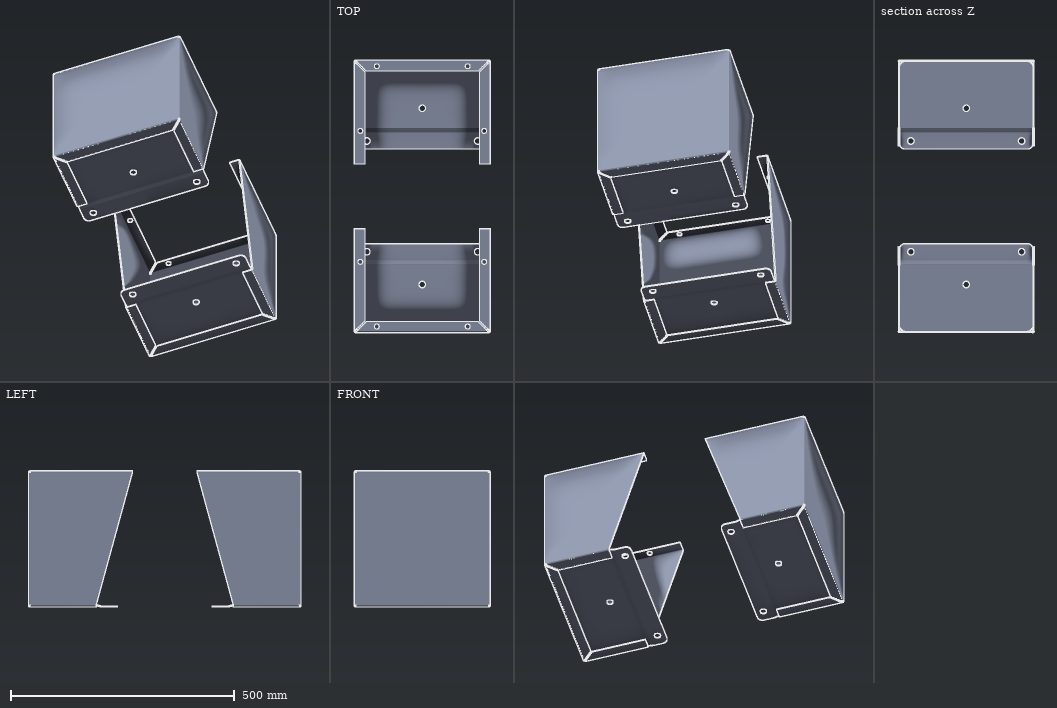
import cadquery as cq
overall_length = 609.5
width = 305.0
height = 305.0

sheet = 2.75
bend_radius = 4.0
inner_bend_radius = bend_radius - sheet
miter_gap = 3.35

top_depth = 233.0
bottom_depth = 152.0
flange_width = 25.0
flange_tip_radius = 2.0
flange_hole_diameter = 11.0
flange_hole_inset = 14.0
back_hole_spacing = 203.0
side_hole_depth = 158.5

plate_hole_diameter = 14.0
plate_corner_radius = 12.0
plate_inset = 3.4
floor_hole_depth = 108.0
joggle_start_depth = 152.5
joggle_length = 10.0
floor_lift = 3.0
tab_end_depth = 199.5
tab_hole_depth = 181.0
tab_hole_spacing = 247.5

back_y = overall_length / 2
plate_width = width - 2 * plate_inset


def at_depth(depth):
    """Y position at a given distance in front of the back face."""
    return back_y - depth


def folded_block(skin, radius):
    """Block set in by `skin` from the outer faces, rounded along the folds, running out past the front."""
    front_y = at_depth(top_depth + flange_width)
    rear_y = back_y - skin
    block = cq.Workplane("XY").box(width - 2 * skin, rear_y - front_y, height - 2 * skin)
    block = block.edges("|Y or >Y").fillet(radius)
    return block.translate((0, (front_y + rear_y) / 2, height / 2))


def side_profile():
    """Region kept by the tapered side walls, across the full width."""
    return (
        cq.Workplane("YZ")
        .moveTo(back_y, 0)
        .lineTo(at_depth(bottom_depth), 0)
        .lineTo(at_depth(bottom_depth), bend_radius)
        .lineTo(at_depth(top_depth), height - bend_radius)
        .lineTo(at_depth(top_depth), height)
        .lineTo(back_y, height)
        .close()
        .extrude(width / 2, both=True)
    )


def flange_opening():
    """Opening left between the flanges, at the top and the bottom."""
    opening_back = back_y - flange_width
    opening_front = at_depth(top_depth + flange_width)
    return (
        cq.Workplane("XY")
        .box(width - 2 * flange_width, opening_back - opening_front, height)
        .translate((0, (opening_back + opening_front) / 2, height / 2))
    )


def miter_slots():
    """Diagonal slots that part the flanges at the two back corners, top and bottom."""
    slots = cq.Workplane("XY")
    for side in (-1, 1):
        for z in (0, height):
            slot = (
                cq.Workplane("XY")
                .box(4 * flange_width, miter_gap, 2 * bend_radius)
                .rotate((0, 0, 0), (0, 0, 1), side * 45)
                .translate((side * width / 2, back_y, z))
            )
            slots = slots.add(slot)
    return slots.combine()


def flange_holes():
    """Holes through the top flanges: two at the back and one on each side."""
    side_x = width / 2 - flange_hole_inset
    back_x = back_hole_spacing / 2
    back_hole_y = at_depth(flange_hole_inset)
    side_hole_y = at_depth(side_hole_depth)
    centres = [(-back_x, back_hole_y), (back_x, back_hole_y), (-side_x, side_hole_y), (side_x, side_hole_y)]
    return (
        cq.Workplane("XY", origin=(0, 0, height - bend_radius))
        .pushPoints(centres)
        .circle(flange_hole_diameter / 2)
        .extrude(2 * bend_radius)
    )


def make_housing():
    """Back wall and side walls folded from one sheet, with mitred top and bottom flanges."""
    housing = folded_block(0, bend_radius).cut(folded_block(sheet, inner_bend_radius))
    housing = housing.cut(flange_opening()).intersect(side_profile())
    tip_x = width / 2 - flange_width
    tip_box = cq.selectors.BoxSelector(
        (-tip_x - sheet, at_depth(top_depth) - sheet, height - bend_radius),
        (tip_x + sheet, at_depth(top_depth) + sheet, height + sheet),
    )
    housing = housing.edges("|Z").edges(tip_box).fillet(flange_tip_radius)
    return housing.cut(miter_slots()).cut(flange_holes())


def round_folds(plate, fold_points, radius):
    """Round the cross-wise fold edges that pass through the given points."""
    for point in fold_points:
        plate = plate.edges(cq.selectors.NearestToPointSelector(point)).fillet(radius)
    return plate


def make_base_plate():
    """Floor plate over the bottom flanges, joggled down to the mounting tab."""
    rear_y = back_y - plate_inset
    step_y = at_depth(joggle_start_depth)
    tab_y = at_depth(joggle_start_depth + joggle_length)
    end_y = at_depth(tab_end_depth)
    plate = (
        cq.Workplane("YZ")
        .moveTo(rear_y, floor_lift)
        .lineTo(step_y, floor_lift)
        .lineTo(tab_y, 0)
        .lineTo(end_y, 0)
        .lineTo(end_y, sheet)
        .lineTo(tab_y, sheet)
        .lineTo(step_y, floor_lift + sheet)
        .lineTo(rear_y, floor_lift + sheet)
        .close()
        .extrude(plate_width / 2, both=True)
    )
    outer_folds = [(0, step_y, floor_lift + sheet), (0, tab_y, 0)]
    inner_folds = [(0, step_y, floor_lift), (0, tab_y, sheet)]
    plate = round_folds(plate, outer_folds, bend_radius)
    plate = round_folds(plate, inner_folds, inner_bend_radius)
    plate = plate.edges("|Z and (<Y or >Y)").fillet(plate_corner_radius)
    tab_x = tab_hole_spacing / 2
    tab_hole_y = at_depth(tab_hole_depth)
    holes = (
        cq.Workplane("XY")
        .pushPoints([(0, at_depth(floor_hole_depth)), (-tab_x, tab_hole_y), (tab_x, tab_hole_y)])
        .circle(plate_hole_diameter / 2)
        .extrude(floor_lift + sheet)
    )
    return plate.cut(holes)


housing = make_housing()
base_plate = make_base_plate()

bodies = []
for turn in (0, 180):
    for body in (housing, base_plate):
        bodies.append(body.rotate((0, 0, 0), (0, 0, 1), turn).val())

result = cq.Compound.makeCompound(bodies)